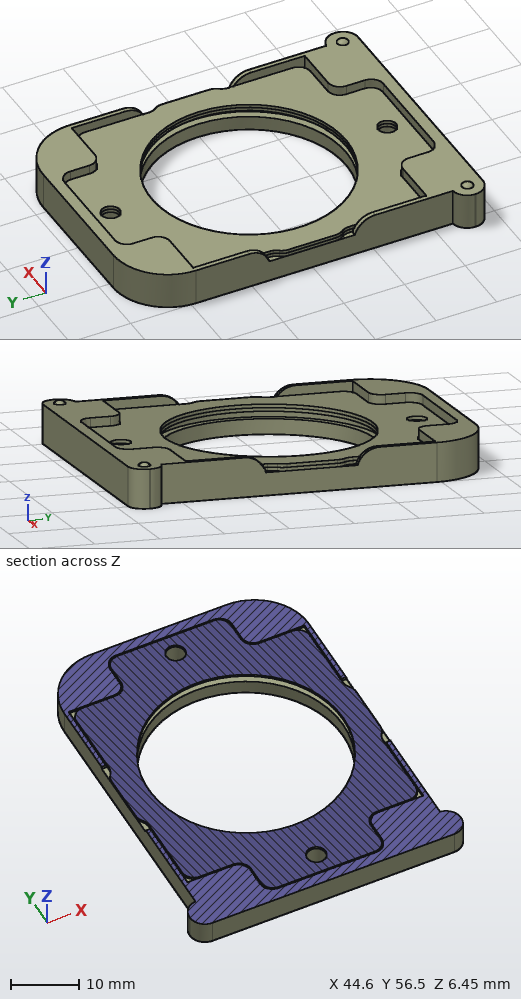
import cadquery as cq
import math

length = 56.45
height = 6.0
body_width = 40.2
corner_radius = 9.0
lug_span = 44.6
lug_radius = 2.5
lug_flat = 0.1
opening_y = 0.05

dome_radius = 0.9
dome_height = 0.45

floor_z = 3.5
pocket_width = 38.6
pocket_length = 38.45
pocket_tab_length = 52.55
pocket_tab_width = 19.9
cross_radius = 2.0

opening_diameter = 31.9
counterbore_diameter = 34.4
counterbore_depth = 1.15
screw_hole_diameter = 3.0
screw_hole_spacing = 45.6

notch_top_half_length = 10.4
notch_round_radius = 3.5

plate_count = 2
plate_thickness = 0.535
plate_gap = 0.1
ear_half_length = 3.9
ear_radius = 2.2

half_width = body_width / 2
half_length = length / 2
plate_width = pocket_width - 2 * plate_gap
lug_x = lug_span / 2 - lug_radius
lug_length = 2 * lug_radius + lug_flat
lug_y = -half_length + lug_length / 2


def cross_block(thickness, gap):
    """Cross with a rounded tab at each Y end, set in from the pocket walls by the gap.

    The rounds beside and at the ends of the tabs are included; the four side corners stay sharp.
    """
    width = pocket_width - 2 * gap
    middle_length = pocket_length - 2 * gap
    tab_width = pocket_tab_width - 2 * gap
    tab_length = pocket_tab_length - 2 * gap
    plane = cq.Workplane("XY").center(0, opening_y)
    middle = plane.rect(width, middle_length).extrude(thickness)
    tabs = plane.rect(tab_width, tab_length).extrude(thickness)
    block = middle.union(tabs)
    zone_x = tab_width / 2 + cross_radius
    rounded_zone = cq.selectors.BoxSelector((-zone_x, -length, 0), (zone_x, length, thickness))
    return block.edges("|Z").edges(rounded_zone).fillet(cross_radius)


def screw_holes(depth):
    """Cutting cylinders for the two screw holes on the Y axis."""
    offset = screw_hole_spacing / 2
    return (
        cq.Workplane("XY").center(0, opening_y)
        .pushPoints([(0, offset), (0, -offset)])
        .circle(screw_hole_diameter / 2).extrude(depth)
    )


def opening(diameter, depth):
    """Cutting cylinder on the axis of the large opening."""
    return cq.Workplane("XY").center(0, opening_y).circle(diameter / 2).extrude(depth)


def side_notches():
    """Cutter through both side walls, down to the pocket floor, with convex round ends."""
    center_z = height - notch_round_radius
    angle_floor = math.asin((floor_z - center_z) / notch_round_radius)
    angle_mid = (angle_floor + math.pi / 2) / 2

    def on_round(angle):
        y = notch_top_half_length - notch_round_radius * math.cos(angle)
        return y, center_z + notch_round_radius * math.sin(angle)

    y_floor, _ = on_round(angle_floor)
    y_mid, z_mid = on_round(angle_mid)
    return (
        cq.Workplane("YZ").center(opening_y, 0)
        .moveTo(-y_floor, floor_z)
        .lineTo(y_floor, floor_z)
        .threePointArc((y_mid, z_mid), (notch_top_half_length, height))
        .lineTo(-notch_top_half_length, height)
        .threePointArc((-y_mid, z_mid), (-y_floor, floor_z))
        .close()
        .extrude(half_width, both=True)
    )


def dome():
    """Spherical cap with its flat side on Z = 0."""
    sphere_radius = (dome_radius**2 + dome_height**2) / (2 * dome_height)
    sphere = cq.Workplane("XY").sphere(sphere_radius)
    sphere = sphere.translate((0, 0, dome_height - sphere_radius))
    upper_half = cq.Workplane("XY").circle(lug_radius).extrude(lug_radius)
    return sphere.intersect(upper_half)


def make_housing():
    """Frame with rounded far corners, two domed lugs, a cross pocket and a stepped opening."""
    frame = (
        cq.Workplane("XY").rect(body_width, length - lug_radius).extrude(height)
        .translate((0, lug_radius / 2, 0))
        .edges("|Z and >Y").fillet(corner_radius)
    )
    foot = (
        cq.Workplane("XY").center(0, lug_y)
        .rect(lug_span, lug_length).extrude(height)
        .edges("|Z").fillet(lug_radius)
    )
    housing = frame.union(foot)
    pocket = cross_block(height - floor_z, 0)
    housing = housing.cut(pocket.translate((0, 0, floor_z)))
    housing = housing.cut(side_notches())
    housing = housing.cut(opening(opening_diameter, height))
    counterbore = opening(counterbore_diameter, counterbore_depth)
    housing = housing.cut(counterbore.translate((0, 0, floor_z - counterbore_depth)))
    housing = housing.cut(screw_holes(height))
    for side in (-1, 1):
        housing = housing.union(dome().translate((side * lug_x, lug_y, height)))
    return housing


def ears():
    """Pair of side ears, flush with the housing, that run into the plate sides by S-curves."""
    step = half_width - plate_width / 2
    sweep = math.acos(1 - step / (2 * ear_radius))
    half_run = ear_radius * math.sin(sweep)
    x_root = plate_width / 2
    x_blend = half_width - step / 2
    y_flat = ear_half_length
    y_blend = y_flat + half_run
    y_root = y_blend + half_run
    mid_drop = ear_radius * (1 - math.cos(sweep / 2))
    mid_run = ear_radius * math.sin(sweep / 2)
    outer_mid = (half_width - mid_drop, y_flat + mid_run)
    root_mid = (x_root + mid_drop, y_root - mid_run)

    middle = cq.Workplane("XY").center(0, opening_y)
    right_ear = (
        middle.moveTo(x_root, y_root)
        .threePointArc(root_mid, (x_blend, y_blend))
        .threePointArc(outer_mid, (half_width, y_flat))
        .lineTo(half_width, -y_flat)
        .threePointArc((outer_mid[0], -outer_mid[1]), (x_blend, -y_blend))
        .threePointArc((root_mid[0], -root_mid[1]), (x_root, -y_root))
        .close()
        .extrude(plate_thickness)
    )
    return right_ear.union(right_ear.mirror("YZ"))


def make_plate(level):
    """Thin cross-shaped plate with side ears; level counts up from the pocket floor."""
    plate = cross_block(plate_thickness, plate_gap)
    plate = plate.edges("|Z and (<X or >X)").fillet(cross_radius)
    plate = plate.union(ears())
    plate = plate.cut(opening(opening_diameter, plate_thickness))
    plate = plate.cut(screw_holes(plate_thickness))
    return plate.translate((0, 0, floor_z + level * plate_thickness))


housing = make_housing()
plates = [make_plate(level) for level in range(plate_count)]

result = cq.Compound.makeCompound([housing.val(), *[plate.val() for plate in plates]])